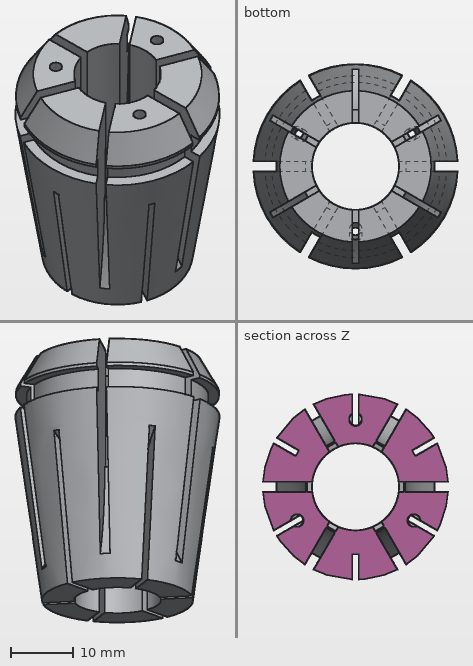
import cadquery as cq
import math

LENGTH = 40.0
SHOULDER_RADIUS = 16.5
SHOULDER_HEIGHT = 30.95
TAIL_RADIUS = 12.2
GROOVE_RADIUS = 14.7
GROOVE_TOP = 34.55
COLLAR_RADIUS = 16.4
COLLAR_TOP = 35.1
NOSE_ANGLE = 30.0
FACE_RADIUS = COLLAR_RADIUS - (LENGTH - COLLAR_TOP) * math.tan(math.radians(NOSE_ANGLE))
BORE_RADIUS = 7.0

SLOTS_PER_END = 6
SLOT_SPACING = 360.0 / SLOTS_PER_END
SLOT_INNER = 0.5 * BORE_RADIUS
SLOT_OUTER = SHOULDER_RADIUS + 2.0
OVERSHOOT = 2.0

TOP_SLOT_WIDTH = 1.6
TOP_SLOT_OUTER_Z = 4.0
TOP_SLOT_CREST_Z = 20.1
TOP_SLOT_CREST_RADIUS = 8.1
TOP_SLOT_LIP_ANGLE = 13.0

BOTTOM_SLOT_WIDTH = 1.0
BOTTOM_SLOT_OUTER_Z = 24.95
BOTTOM_SLOT_INNER_Z = 16.65
BOTTOM_SLOT_INNER_RADIUS = 9.1
BOTTOM_SLOT_ARC_RADIUS = 18.0

HOLE_DIAMETER = 2.0
HOLE_CENTRE_RADIUS = 10.1
HOLE_TILT = 2.2
HOLE_ANGLES = (90.0, 210.0, 330.0)


def taper_radius(z):
    """Radius of the long outer taper at height z."""
    return TAIL_RADIUS + (SHOULDER_RADIUS - TAIL_RADIUS) * z / SHOULDER_HEIGHT


def around_axis(shape, angle):
    return shape.rotate((0, 0, 0), (0, 0, 1), angle)


def make_body():
    """Turned body with its through bore."""
    profile = [
        (BORE_RADIUS, 0),
        (TAIL_RADIUS, 0),
        (SHOULDER_RADIUS, SHOULDER_HEIGHT),
        (GROOVE_RADIUS, SHOULDER_HEIGHT),
        (GROOVE_RADIUS, GROOVE_TOP),
        (COLLAR_RADIUS, GROOVE_TOP),
        (COLLAR_RADIUS, COLLAR_TOP),
        (FACE_RADIUS, LENGTH),
        (BORE_RADIUS, LENGTH),
    ]
    return cq.Workplane("XZ").polyline(profile).close().revolve(360, (0, 0, 0), (0, 1, 0))


def make_top_slot():
    """Slot open at the top; its floor climbs inwards on an arc that ends vertical at the crest."""
    outer_end = taper_radius(TOP_SLOT_OUTER_Z)
    lip_drop = (TOP_SLOT_CREST_RADIUS - SLOT_INNER) * math.tan(math.radians(TOP_SLOT_LIP_ANGLE))
    run = outer_end - TOP_SLOT_CREST_RADIUS
    rise = TOP_SLOT_CREST_Z - TOP_SLOT_OUTER_Z
    arc_radius = (run**2 + rise**2) / (2 * run)
    return (
        cq.Workplane("XZ")
        .moveTo(SLOT_INNER, TOP_SLOT_CREST_Z - lip_drop)
        .lineTo(TOP_SLOT_CREST_RADIUS, TOP_SLOT_CREST_Z)
        .radiusArc((outer_end, TOP_SLOT_OUTER_Z), -arc_radius)
        .lineTo(SLOT_OUTER, TOP_SLOT_OUTER_Z)
        .lineTo(SLOT_OUTER, LENGTH + OVERSHOOT)
        .lineTo(SLOT_INNER, LENGTH + OVERSHOOT)
        .close()
        .extrude(TOP_SLOT_WIDTH / 2, both=True)
    )


def make_bottom_slot():
    """Slot open at the bottom; its ceiling drops inwards on an arc, then runs level to the bore."""
    outer_end = taper_radius(BOTTOM_SLOT_OUTER_Z)
    return (
        cq.Workplane("XZ")
        .moveTo(SLOT_INNER, BOTTOM_SLOT_INNER_Z)
        .lineTo(BOTTOM_SLOT_INNER_RADIUS, BOTTOM_SLOT_INNER_Z)
        .radiusArc((outer_end, BOTTOM_SLOT_OUTER_Z), BOTTOM_SLOT_ARC_RADIUS)
        .lineTo(SLOT_OUTER, BOTTOM_SLOT_OUTER_Z)
        .lineTo(SLOT_OUTER, -OVERSHOOT)
        .lineTo(SLOT_INNER, -OVERSHOOT)
        .close()
        .extrude(BOTTOM_SLOT_WIDTH / 2, both=True)
    )


def make_hole():
    """Leaning hole that ends at the level of the bottom slot's inner ceiling."""
    depth = LENGTH - BOTTOM_SLOT_INNER_Z
    return (
        cq.Workplane("XY")
        .circle(HOLE_DIAMETER / 2)
        .extrude(OVERSHOOT + depth)
        .translate((0, 0, -depth))
        .rotate((0, 0, 0), (0, 1, 0), -HOLE_TILT)
        .translate((HOLE_CENTRE_RADIUS, 0, LENGTH))
    )


result = make_body()
for i in range(SLOTS_PER_END):
    result = result.cut(around_axis(make_top_slot(), i * SLOT_SPACING))
    result = result.cut(around_axis(make_bottom_slot(), (i + 0.5) * SLOT_SPACING))
for angle in HOLE_ANGLES:
    result = result.cut(around_axis(make_hole(), angle))